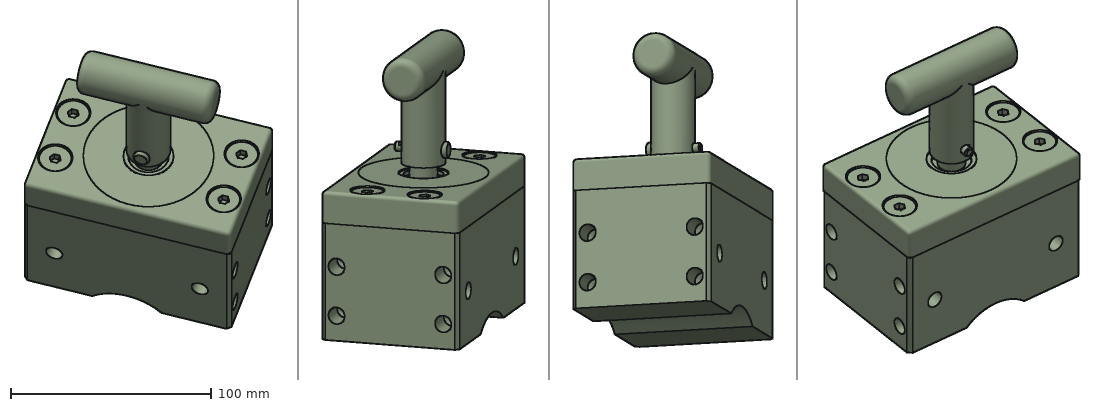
import cadquery as cq
import math

LENGTH = 108.0
WIDTH = 72.0
TOTAL_HEIGHT = 142.0
BASE_HEIGHT = 59.9
COVER_TOP = 76.1
COVER_THICKNESS = COVER_TOP - BASE_HEIGHT
EDGE = 2.0

RELIEF_RADIUS = 27.0
RELIEF_AXIS_DROP = 20.0

HOLE_DIAMETER = 8.5
HOLE_DEPTH = 14.2
DRILL_TIP_ANGLE = 118.0
LONG_SIDE_HOLE_X = 38.0
LONG_SIDE_HOLE_Z = 27.0
SHORT_SIDE_HOLE_Y = 28.0
SHORT_SIDE_HOLE_HEIGHTS = (12.9, 38.0)

SCREW_X = 44.0
SCREW_Y = 15.0
SCREW_HEAD_DIAMETER = 16.0
SCREW_SHANK_DIAMETER = 8.0
COUNTERSINK_DIAMETER = 17.3
SCREW_DEPTH_IN_BASE = 12.0
HEX_ACROSS_FLATS = 5.0
HEX_DEPTH = 3.5
SCREW_BOTTOM = BASE_HEIGHT - SCREW_DEPTH_IN_BASE
SCREW_HEAD_TOP = COVER_TOP - (COUNTERSINK_DIAMETER - SCREW_HEAD_DIAMETER) / 2

DIAL_DIAMETER = 65.0
DIAL_STEP_DIAMETER = 25.0
DIAL_STEP_DEPTH = 0.7
DIAL_RECESS_DIAMETER = 20.0
DIAL_RECESS_DEPTH = 2.8

SHAFT_DIAMETER = 14.0
SHAFT_TOP = 97.8

HANDLE_DIAMETER = 22.0
CROSSBAR_LENGTH = 70.0
CROSSBAR_END_RADIUS = 4.0
STEM_BOTTOM = 81.1
CROSSBAR_Z = TOTAL_HEIGHT - HANDLE_DIAMETER / 2

PIN_Z = 88.6
PIN_DIAMETER = 5.0
PIN_TIP_Y = 14.8
PIN_TIP_CHAMFER = 0.7
PIN_HEAD_DIAMETER = 8.4
PIN_HEAD_FACE_DIAMETER = 6.7
PIN_HEAD_START_Y = -10.2
PIN_HEAD_END_Y = -13.2
BALL_RADIUS = 0.9
BALL_Y = 11.72
BALL_OFFSET = 1.5


def upright_cylinder(diameter, bottom, top):
    """Cylinder on the Z axis."""
    return cq.Workplane("XY").workplane(offset=bottom).circle(diameter / 2).extrude(top - bottom)


def drilled_hole(face_distance, across, height):
    """Cutter for a blind hole with a conical end, drilled from the plane y = -face_distance toward +Y."""
    radius = HOLE_DIAMETER / 2
    tip = radius / math.tan(math.radians(DRILL_TIP_ANGLE / 2))
    profile = [(0, 0), (radius, 0), (radius, HOLE_DEPTH), (0, HOLE_DEPTH + tip)]
    cutter = cq.Workplane("XY").polyline(profile).close().revolve(360, (0, 0), (0, 1))
    return cutter.translate((across, -face_distance, height))


def half_turn(shape):
    """Copy turned 180 degrees about Z, for the opposite side."""
    return shape.rotate((0, 0, 0), (0, 0, 1), 180)


def countersunk_profile(head_diameter, top, bottom):
    """Solid of revolution on Z: a shank under a 90 degree countersunk head."""
    head_radius = head_diameter / 2
    shank_radius = SCREW_SHANK_DIAMETER / 2
    neck = top - (head_radius - shank_radius)
    points = [(0, bottom), (shank_radius, bottom), (shank_radius, neck), (head_radius, top), (0, top)]
    return cq.Workplane("XZ").polyline(points).close().revolve(360, (0, 0), (0, 1))


def screw_places():
    return [(x, y) for x in (-SCREW_X, SCREW_X) for y in (-SCREW_Y, SCREW_Y)]


def make_base():
    base = cq.Workplane("XY").box(LENGTH, WIDTH, BASE_HEIGHT, centered=(True, True, False))
    base = base.edges("|Z").chamfer(EDGE)

    relief = cq.Workplane("XZ").center(0, -RELIEF_AXIS_DROP).circle(RELIEF_RADIUS)
    base = base.cut(relief.extrude(WIDTH / 2, both=True))

    for x in (-LONG_SIDE_HOLE_X, LONG_SIDE_HOLE_X):
        hole = drilled_hole(WIDTH / 2, x, LONG_SIDE_HOLE_Z)
        base = base.cut(hole).cut(half_turn(hole))

    for y in (-SHORT_SIDE_HOLE_Y, SHORT_SIDE_HOLE_Y):
        for z in SHORT_SIDE_HOLE_HEIGHTS:
            hole = drilled_hole(LENGTH / 2, y, z).rotate((0, 0, 0), (0, 0, 1), -90)
            base = base.cut(hole).cut(half_turn(hole))

    shank_hole = upright_cylinder(SCREW_SHANK_DIAMETER, SCREW_BOTTOM, BASE_HEIGHT)
    for x, y in screw_places():
        base = base.cut(shank_hole.translate((x, y, 0)))
    return base


def make_cover():
    cover = cq.Workplane("XY").workplane(offset=BASE_HEIGHT).rect(LENGTH, WIDTH).extrude(COVER_THICKNESS)
    cover = cover.edges("|Z or >Z").fillet(EDGE)
    cover = cover.cut(upright_cylinder(DIAL_DIAMETER, BASE_HEIGHT, COVER_TOP))

    countersunk_hole = countersunk_profile(COUNTERSINK_DIAMETER, COVER_TOP, BASE_HEIGHT)
    for x, y in screw_places():
        cover = cover.cut(countersunk_hole.translate((x, y, 0)))
    return cover


def make_dial():
    """Round dial with a stepped recess and a bore for the shaft."""
    dial = upright_cylinder(DIAL_DIAMETER, BASE_HEIGHT, COVER_TOP)
    dial = dial.cut(upright_cylinder(DIAL_STEP_DIAMETER, COVER_TOP - DIAL_STEP_DEPTH, COVER_TOP))
    dial = dial.cut(upright_cylinder(DIAL_RECESS_DIAMETER, COVER_TOP - DIAL_RECESS_DEPTH, COVER_TOP))
    return dial.cut(upright_cylinder(SHAFT_DIAMETER, BASE_HEIGHT, COVER_TOP))


def make_screw(x, y):
    """Countersunk screw with a hexagon socket whose corners point along X."""
    screw = countersunk_profile(SCREW_HEAD_DIAMETER, SCREW_HEAD_TOP, SCREW_BOTTOM)
    across_corners = HEX_ACROSS_FLATS / math.cos(math.pi / 6)
    socket = cq.Workplane("XY").workplane(offset=SCREW_HEAD_TOP).polygon(6, across_corners)
    return screw.cut(socket.extrude(-HEX_DEPTH)).translate((x, y, 0))


def make_pin():
    """Cross pin with a bulged head at -Y and a locking ball near its chamfered +Y tip."""
    shank = cq.Workplane("XZ", origin=(0, PIN_HEAD_START_Y, PIN_Z)).circle(PIN_DIAMETER / 2)
    shank = shank.extrude(PIN_HEAD_START_Y - PIN_TIP_Y).faces(">Y").chamfer(PIN_TIP_CHAMFER)
    face_radius = PIN_HEAD_FACE_DIAMETER / 2
    middle_y = (PIN_HEAD_START_Y + PIN_HEAD_END_Y) / 2
    head = cq.Workplane("XY").moveTo(0, PIN_HEAD_START_Y).lineTo(face_radius, PIN_HEAD_START_Y)
    head = head.threePointArc((PIN_HEAD_DIAMETER / 2, middle_y), (face_radius, PIN_HEAD_END_Y))
    head = head.lineTo(0, PIN_HEAD_END_Y).close().revolve(360, (0, 0), (0, 1)).translate((0, 0, PIN_Z))
    ball = cq.Workplane("XY").sphere(BALL_RADIUS)
    ball = ball.translate((-BALL_OFFSET, BALL_Y, PIN_Z + BALL_OFFSET))
    return shank.union(head).union(ball)


def make_shaft(pin):
    return upright_cylinder(SHAFT_DIAMETER, BASE_HEIGHT, SHAFT_TOP).cut(pin)


def make_handle(pin):
    """Rounded crossbar on a stem, with a socket for the shaft and a cross hole for the pin."""
    crossbar = cq.Workplane("YZ").center(0, CROSSBAR_Z).circle(HANDLE_DIAMETER / 2)
    crossbar = crossbar.extrude(CROSSBAR_LENGTH / 2, both=True)
    crossbar = crossbar.faces("<X or >X").edges().fillet(CROSSBAR_END_RADIUS)
    stem = upright_cylinder(HANDLE_DIAMETER, STEM_BOTTOM, CROSSBAR_Z)
    stem = stem.rotate((0, 0, 0), (0, 0, 1), 90)
    handle = crossbar.union(stem)
    return handle.cut(upright_cylinder(SHAFT_DIAMETER, STEM_BOTTOM, SHAFT_TOP)).cut(pin)


base = make_base()
cover = make_cover()
dial = make_dial()
screws = [make_screw(x, y) for x, y in screw_places()]
pin = make_pin()
shaft = make_shaft(pin)
handle = make_handle(pin)

result = cq.Compound.makeCompound(
    [
        base.val(),
        cover.val(),
        dial.val(),
        shaft.val(),
        handle.val(),
        pin.val(),
        *[screw.val() for screw in screws],
    ]
)